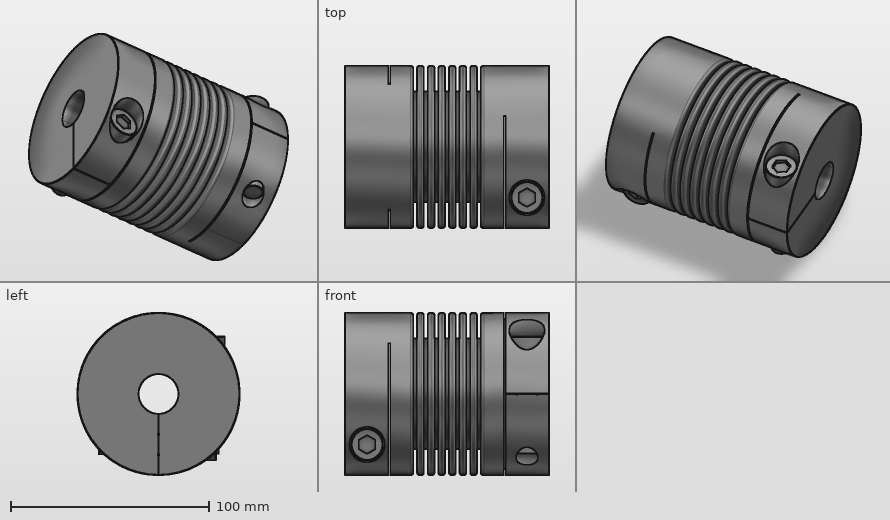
import cadquery as cq
import math

OUTER_R = 41.0
LENGTH = 103.0
BORE_R = 10.0
END_CHAMFER = 0.3

ROOT_R = 28.0
FIN_COUNT = 6
FIN_WIDTH = 3.55
FIN_GAP = 1.8
RIM_FILLET = 1.5

SLOT_WIDTH = 0.8
SLIT_WIDTH = 0.5
SLOT_FROM_END = 22.4
LEFT_SLOT_REACH = 25.5
RIGHT_SLOT_REACH = 15.5

SCREW_FROM_END = 11.2
SCREW_OFFSET = 25.5
SHANK_R = 5.0
SCREW_HOLE_R = 5.5
HEAD_R = 8.0
HEAD_HEIGHT = 10.0
HEAD_TOP = 29.0
HEAD_CHAMFER = 0.3
SHANK_TIP = -30.2
TIP_CHAMFER = 0.3
HEX_FLATS = 8.2
HEX_DEPTH = 2.0
COUNTERBORE_R = 8.9

HALF_LENGTH = LENGTH / 2
FIN_PITCH = FIN_WIDTH + FIN_GAP
BELLOWS_LENGTH = FIN_COUNT * FIN_PITCH + FIN_GAP
HUB_LENGTH = (LENGTH - BELLOWS_LENGTH) / 2
HEAD_SEAT = HEAD_TOP - HEAD_HEIGHT
HEX_CIRCLE = HEX_FLATS / math.cos(math.pi / 6)
SLOT_X = -HALF_LENGTH + SLOT_FROM_END
SCREW_X = -HALF_LENGTH + SCREW_FROM_END


def disc(radius, x_start, length):
    """Cylinder about the X axis."""
    return cq.Workplane("YZ").workplane(offset=x_start).circle(radius).extrude(length)


def to_right_end(left_shape):
    """Carry a left-end shape to the right end, a quarter turn round the axis."""
    return left_shape.mirror("YZ").rotate((0, 0, 0), (1, 0, 0), -90)


def screw_line(y_start):
    """Workplane facing -Y, centred on the left screw's axis."""
    return cq.Workplane("XZ", origin=(SCREW_X, y_start, -SCREW_OFFSET))


def left_hub():
    hub = disc(OUTER_R, -HALF_LENGTH, HUB_LENGTH)
    hub = hub.faces(">X").edges().fillet(RIM_FILLET)
    return hub.faces("<X").edges().chamfer(END_CHAMFER)


def fin(index):
    x_start = -BELLOWS_LENGTH / 2 + FIN_GAP + index * FIN_PITCH
    return disc(OUTER_R, x_start, FIN_WIDTH).edges().fillet(RIM_FILLET)


def left_clamp_cuts(slot_reach):
    """Cross slot, jaw slit and screw hole of the left hub; slot_reach is the slot's top in Z."""
    slot_height = slot_reach + OUTER_R
    slot = cq.Workplane("XY").box(SLOT_WIDTH, 2 * OUTER_R, slot_height)
    slot = slot.translate((SLOT_X, 0, slot_reach - slot_height / 2))

    slit = cq.Workplane("XY").box(SLOT_FROM_END, SLIT_WIDTH, OUTER_R)
    slit = slit.translate((SLOT_X - SLOT_FROM_END / 2, 0, -OUTER_R / 2))

    screw_hole = screw_line(OUTER_R).circle(SCREW_HOLE_R).extrude(2 * OUTER_R)
    counterbore = screw_line(-HEAD_SEAT).circle(COUNTERBORE_R).extrude(OUTER_R - HEAD_SEAT)
    return slot.union(slit).union(screw_hole).union(counterbore)


def left_screw():
    """Socket-head screw along Y with its head towards -Y."""
    shank = screw_line(-SHANK_TIP).circle(SHANK_R).extrude(HEAD_SEAT - SHANK_TIP)
    shank = shank.faces(">Y").edges().chamfer(TIP_CHAMFER)
    head = screw_line(-HEAD_SEAT).circle(HEAD_R).extrude(HEAD_HEIGHT)
    head = head.faces("<Y").edges().chamfer(HEAD_CHAMFER)
    socket = screw_line(-HEAD_TOP).transformed(rotate=(0, 0, 90))
    socket = socket.polygon(6, HEX_CIRCLE).extrude(-HEX_DEPTH)
    return shank.union(head).cut(socket)


def make_coupling():
    """Both hubs and the bellows as one piece."""
    body = disc(ROOT_R, -BELLOWS_LENGTH / 2, BELLOWS_LENGTH)
    body = body.union(left_hub()).union(to_right_end(left_hub()))
    for index in range(FIN_COUNT):
        body = body.union(fin(index))
    body = body.cut(disc(BORE_R, -HALF_LENGTH, LENGTH))
    body = body.cut(left_clamp_cuts(LEFT_SLOT_REACH))
    return body.cut(to_right_end(left_clamp_cuts(RIGHT_SLOT_REACH)))


coupling = make_coupling()
clamp_screws = [left_screw(), to_right_end(left_screw())]

bodies = [coupling, *clamp_screws]
result = cq.Compound.makeCompound([body.solids().val() for body in bodies])